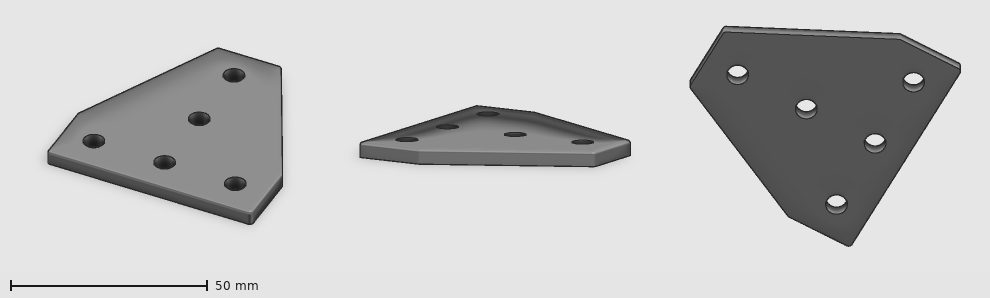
import cadquery as cq

hole_pitch = 20.0
edge_margin = 9.0
thickness = 4.0
hole_diameter = 5.5
corner_radius = 1.0
top_edge_radius = 1.0

half_base = hole_pitch + edge_margin
half_tip = edge_margin
base_y = -hole_pitch - edge_margin
shoulder_y = -hole_pitch + edge_margin
tip_y = hole_pitch + edge_margin

hole_centres = [
    (-hole_pitch, -hole_pitch),
    (0, -hole_pitch),
    (hole_pitch, -hole_pitch),
    (0, 0),
    (0, hole_pitch),
]


def make_plate():
    """T-joint plate with tapered flanks, rounded corners and a rounded upper rim."""
    outline = [
        (-half_base, base_y),
        (half_base, base_y),
        (half_base, shoulder_y),
        (half_tip, tip_y),
        (-half_tip, tip_y),
        (-half_base, shoulder_y),
    ]
    plate = cq.Workplane("XY").polyline(outline).close().extrude(thickness)
    plate = plate.edges("|Z").fillet(corner_radius)
    return plate.faces(">Z").edges().fillet(top_edge_radius)


def drill_holes(plate):
    """Plain through holes in a T pattern."""
    drills = (
        cq.Workplane("XY")
        .pushPoints(hole_centres)
        .circle(hole_diameter / 2)
        .extrude(thickness)
    )
    return plate.cut(drills)


result = drill_holes(make_plate())